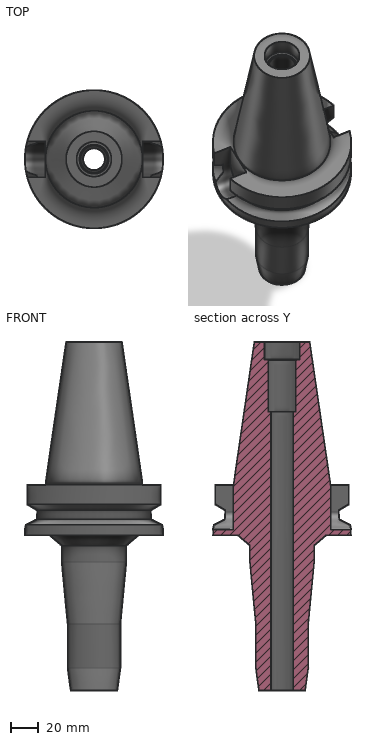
import cadquery as cq

LENGTH = 251.8

NOSE_TIP_RADIUS = 16.9
NOSE_RADIUS = 19.1
NOSE_TAPER_TOP = 16.5
NOSE_TOP = 48.3
NECK_RADIUS = 23.5
NECK_TAPER_TOP = 93.2
NECK_TOP = 104.7

FLANGE_DIAMETER = 100.0
FLANGE_RADIUS = FLANGE_DIAMETER / 2
FLANGE_BOTTOM = 112.0
FLANGE_TOP = 148.5
FLARE_RADIUS = 32.0
GROOVE_RADIUS = 43.0
GROOVE_LOWER_EDGE = 119.5
GROOVE_FLOOR_BOTTOM = 123.6
GROOVE_FLOOR_TOP = 130.2
GROOVE_UPPER_EDGE = 134.5

GAUGE_RADIUS = 35.0
GAUGE_HEIGHT = 150.0
TAPER_SLOPE = 7 / 24 / 2
SHANK_TOP_RADIUS = GAUGE_RADIUS - TAPER_SLOPE * (LENGTH - GAUGE_HEIGHT)

SLOT_WIDTH = 25.7
SLOT_FLOOR_X = 35.3
SLOT_BOTTOM = 116.3

BORE_RADIUS = 7.8
THREAD_RADIUS = 9.8
THREAD_ENTRY_RADIUS = 10.5
MOUTH_RADIUS = 12.5
MOUTH_DEPTH = 12.5
THREAD_DEPTH = 50.4


def make_body():
    """Revolve the outer half profile, from the nose tip up to the shank end."""
    profile = [
        (0, 0),
        (NOSE_TIP_RADIUS, 0),
        (NOSE_RADIUS, NOSE_TAPER_TOP),
        (NOSE_RADIUS, NOSE_TOP),
        (NECK_RADIUS, NECK_TAPER_TOP),
        (NECK_RADIUS, NECK_TOP),
        (FLARE_RADIUS, FLANGE_BOTTOM),
        (FLANGE_RADIUS, FLANGE_BOTTOM),
        (FLANGE_RADIUS, GROOVE_LOWER_EDGE),
        (GROOVE_RADIUS, GROOVE_FLOOR_BOTTOM),
        (GROOVE_RADIUS, GROOVE_FLOOR_TOP),
        (FLANGE_RADIUS, GROOVE_UPPER_EDGE),
        (FLANGE_RADIUS, FLANGE_TOP),
        (GAUGE_RADIUS, FLANGE_TOP),
        (GAUGE_RADIUS, GAUGE_HEIGHT),
        (SHANK_TOP_RADIUS, LENGTH),
        (0, LENGTH),
    ]
    return cq.Workplane("XZ").polyline(profile).close().revolve(360, (0, 0), (0, 1))


def make_bore():
    """Revolve the stepped through bore with a chamfered thread entry."""
    mouth_floor = LENGTH - MOUTH_DEPTH
    entry_bottom = mouth_floor - (THREAD_ENTRY_RADIUS - THREAD_RADIUS)
    thread_bottom = LENGTH - THREAD_DEPTH
    profile = [
        (0, 0),
        (BORE_RADIUS, 0),
        (BORE_RADIUS, thread_bottom),
        (THREAD_RADIUS, thread_bottom),
        (THREAD_RADIUS, entry_bottom),
        (THREAD_ENTRY_RADIUS, mouth_floor),
        (MOUTH_RADIUS, mouth_floor),
        (MOUTH_RADIUS, LENGTH),
        (0, LENGTH),
    ]
    return cq.Workplane("XZ").polyline(profile).close().revolve(360, (0, 0), (0, 1))


def make_drive_slot():
    """Round-bottomed slot on the +X side, open at the flange top and rim."""
    half_width = SLOT_WIDTH / 2
    arc_height = SLOT_BOTTOM + half_width
    return (
        cq.Workplane("YZ", origin=(SLOT_FLOOR_X, 0, 0))
        .moveTo(-half_width, FLANGE_TOP)
        .lineTo(-half_width, arc_height)
        .threePointArc((0, SLOT_BOTTOM), (half_width, arc_height))
        .lineTo(half_width, FLANGE_TOP)
        .close()
        .extrude(FLANGE_RADIUS)
    )


result = make_body().cut(make_bore())
for slot_angle in (0, 180):
    slot = make_drive_slot().rotate((0, 0, 0), (0, 0, 1), slot_angle)
    result = result.cut(slot)